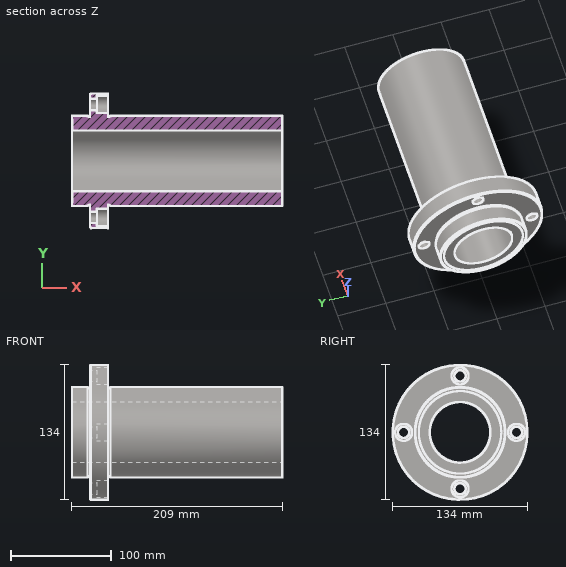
import cadquery as cq
import math

length = 209.0
body_diameter = 90.0
bore_diameter = 60.0
end_chamfer_length = 0.2
end_chamfer_depth = 0.6

flange_diameter = 134.0
flange_start = 18.0
flange_thickness = 18.0
flange_end = flange_start + flange_thickness
flange_chamfer_length = 0.8
flange_chamfer_depth = 1.0

neck_width = 2.5
neck_depth = 1.3

seal_diameter = 82.0
seal_recess = 0.2

hole_count = 4
hole_diameter = 11.0
hole_circle_diameter = 112.0
head_diameter = 17.0
head_depth = 11.0


def turned_body():
    """Revolve the outer half profile: front land, necks, flange and long sleeve."""
    body_radius = body_diameter / 2
    end_face_radius = body_radius - end_chamfer_depth
    flange_radius = flange_diameter / 2
    neck_radius = body_radius - neck_depth
    land_end = flange_start - neck_width
    sleeve_start = flange_end + neck_width

    arc_radius = (neck_width**2 + neck_depth**2) / (2 * neck_depth)
    half_sweep = math.asin(neck_width / arc_radius) / 2
    arc_mid_offset = arc_radius * math.sin(half_sweep)
    arc_mid_height = neck_radius + arc_radius * (1 - math.cos(half_sweep))

    return (
        cq.Workplane("XY")
        .lineTo(0, end_face_radius)
        .lineTo(end_chamfer_length, body_radius)
        .lineTo(land_end, body_radius)
        .threePointArc((flange_start - arc_mid_offset, arc_mid_height), (flange_start, neck_radius))
        .lineTo(flange_start, flange_radius - flange_chamfer_depth)
        .lineTo(flange_start + flange_chamfer_length, flange_radius)
        .lineTo(flange_end, flange_radius)
        .lineTo(flange_end, neck_radius)
        .threePointArc((flange_end + arc_mid_offset, arc_mid_height), (sleeve_start, body_radius))
        .lineTo(length - end_chamfer_length, body_radius)
        .lineTo(length, end_face_radius)
        .lineTo(length, 0)
        .close()
        .revolve(360, (0, 0, 0), (1, 0, 0))
    )


def cylinder_along_x(diameter, start, end):
    return cq.Workplane("YZ", origin=(start, 0, 0)).circle(diameter / 2).extrude(end - start)


def hole_pattern(diameter, start, end):
    """Cylinders spaced evenly on the hole circle, the first one on the Y axis."""
    return (
        cq.Workplane("YZ", origin=(start, 0, 0))
        .polarArray(hole_circle_diameter / 2, 0, 360, hole_count)
        .circle(diameter / 2)
        .extrude(end - start)
    )


result = (
    turned_body()
    .cut(cylinder_along_x(bore_diameter, 0, length))
    .cut(cylinder_along_x(seal_diameter, 0, seal_recess))
    .cut(cylinder_along_x(seal_diameter, length - seal_recess, length))
    .cut(hole_pattern(hole_diameter, flange_start, flange_end))
    .cut(hole_pattern(head_diameter, flange_end - head_depth, flange_end))
)